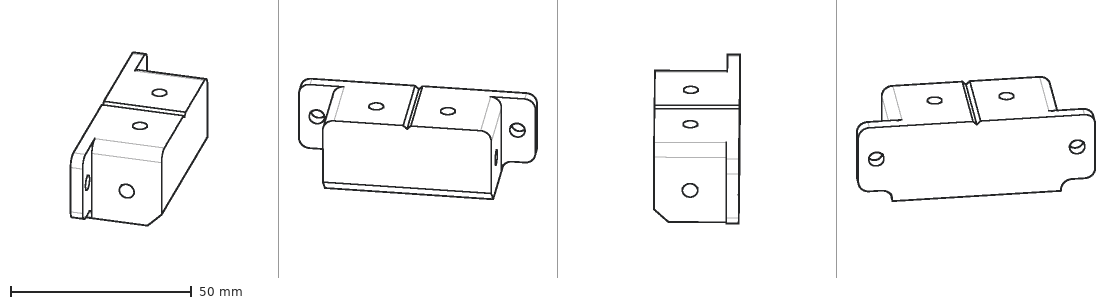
import cadquery as cq

plate_length = 66.0
body_width = 47.0
plate_thickness = 3.5
ear_height = 20.0
body_reach = 20.0
corner_radius = 3.05
chamfer_size = 4.0
groove_depth = 1.05
plate_hole_spacing = 56.0
plate_hole_diameter = 4.2
side_hole_diameter = 4.2
top_hole_spacing = 20.0
top_hole_diameter = 4.0

depth = plate_thickness + body_reach
height = plate_thickness + ear_height
hole_x = plate_thickness + body_reach / 2
side_hole_z = ear_height / 2
ear_center_z = height - ear_height / 2
margin = 0.65


def make_plate():
    """Plate with two rounded ears that blend into its narrower foot."""
    foot = (
        cq.Workplane("XY")
        .box(plate_thickness, body_width, height, centered=(False, True, False))
    )
    ears = (
        cq.Workplane("XY", origin=(0, 0, height - ear_height))
        .box(plate_thickness, plate_length, ear_height, centered=(False, True, False))
        .edges("|X")
        .fillet(corner_radius)
    )
    ear_bottom = height - ear_height
    inner_corners = cq.selectors.BoxSelector(
        (0, -body_width / 2 - margin, ear_bottom - margin),
        (plate_thickness, body_width / 2 + margin, ear_bottom + margin),
    )
    return foot.union(ears).edges("|X").edges(inner_corners).fillet(corner_radius)


def make_body():
    """Block with rounded upper side edges and a chamfered lower outer edge."""
    return (
        cq.Workplane("XY")
        .box(depth, body_width, height, centered=(False, True, False))
        .edges("|X and >Z")
        .fillet(corner_radius)
        .edges("|Y and >X and <Z")
        .chamfer(chamfer_size)
    )


def make_groove():
    """V-groove along the middle of the top face."""
    return (
        cq.Workplane("YZ")
        .moveTo(-groove_depth, height)
        .lineTo(0, height - groove_depth)
        .lineTo(groove_depth, height)
        .close()
        .extrude(depth)
    )


def make_plate_holes():
    """One mounting hole through each ear."""
    return (
        cq.Workplane("YZ", origin=(0, 0, ear_center_z))
        .pushPoints([(side * plate_hole_spacing / 2, 0) for side in (-1, 1)])
        .circle(plate_hole_diameter / 2)
        .extrude(plate_thickness)
    )


def make_top_holes():
    """Two vertical holes through the body."""
    return (
        cq.Workplane("XY")
        .pushPoints([(hole_x, side * top_hole_spacing / 2) for side in (-1, 1)])
        .circle(top_hole_diameter / 2)
        .extrude(height)
    )


def make_side_hole():
    """Hole through the full width of the body."""
    return (
        cq.Workplane("XZ")
        .center(hole_x, side_hole_z)
        .circle(side_hole_diameter / 2)
        .extrude(body_width / 2, both=True)
    )


result = make_plate().union(make_body())
for cutter in (make_groove(), make_plate_holes(), make_top_holes(), make_side_hole()):
    result = result.cut(cutter)